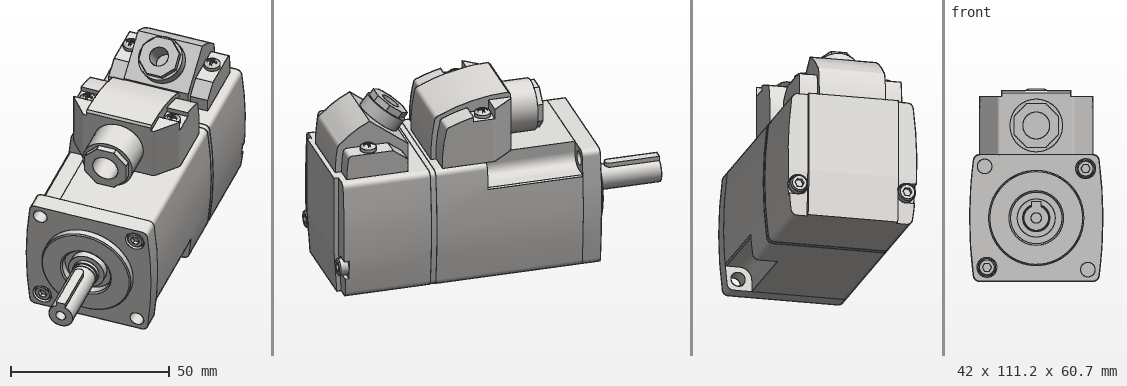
import cadquery as cq
import math


FLANGE_BACK = 6.0
STATOR_BACK = 54.2
LIP_BACK = 56.0
CORNER_BACK = 84.75
REAR = 86.19

HALF_HEIGHT = 20.0
HALF_WIDTH = 21.005
HALF_WIDTH_AT_CORNER = 19.6
SIDE_RISE = HALF_WIDTH - HALF_WIDTH_AT_CORNER
BOW_RADIUS = (HALF_HEIGHT**2 + SIDE_RISE**2) / (2 * SIDE_RISE)
CORNER_RADIUS = 2.0
LIP_INSET = 0.1
CUT_MARGIN = 1.0

PILOT_RADIUS = 15.0
PILOT_HEIGHT = 2.5
PILOT_CHAMFER = 0.4
RECESS_RADIUS = 8.1
RECESS_CHAMFER = 0.5
RECESS_DEPTH = 3.0
COLLAR_RADIUS = 6.0
COLLAR_LENGTH = 2.5
MOUNT_HOLE_RADIUS = 2.3
MOUNT_CIRCLE_RADIUS = 23.0
MOUNT_HOLE_OFFSET = MOUNT_CIRCLE_RADIUS * math.sqrt(0.5)
FLANGE_SCREW_OFFSET = 15.55
MOUNT_HOLES = [(-MOUNT_HOLE_OFFSET, MOUNT_HOLE_OFFSET), (MOUNT_HOLE_OFFSET, -MOUNT_HOLE_OFFSET)]
FLANGE_SCREWS = [(FLANGE_SCREW_OFFSET, FLANGE_SCREW_OFFSET), (-FLANGE_SCREW_OFFSET, -FLANGE_SCREW_OFFSET)]

NOTCH_BACK = 37.2
NOTCH_WALL_X = 11.8
NOTCH_FLOOR_Z = 12.2
NOTCH_RADIUS = 4.0
NOTCH_BEVEL = 0.45

SHAFT_TIP = -25.0
SHAFT_RADIUS = 4.0
SHOULDER_RADIUS = 4.3
SHOULDER_FRONT = -3.2
RELIEF_FRONT = -4.4
RELIEF_DEPTH = 0.15
KEY_WIDTH = 3.0
KEY_TOP = 5.2
KEY_BACK = -7.3
TIP_HOLE_RADIUS = 1.65
TIP_HOLE_DEPTH = 8.0

CAP_RADIUS = 2.75
CAP_HEIGHT = 3.0
CAP_CHAMFER = 0.4
CAP_SOCKET_FLATS = 2.5
CAP_SOCKET_DEPTH = 1.3
CAP_BORE_RADIUS = 3.15
FLANGE_BORE_DEPTH = 3.2

PANEL_HALF_WIDTH = 14.6
TAPER_TOP_Z = -5.5
TAPER_DEPTH = 0.95
REAR_SCREW_X = 17.6
REAR_SCREW_Z = -9.9
REAR_SEAT = 83.0

PAN_RADIUS = 2.55
PAN_RIM = 1.1
PAN_HEIGHT = 2.3
CROSS_LENGTH = 3.0
CROSS_WIDTH = 0.7
CROSS_DEPTH = 1.0


def frame_block(y_front, y_back, inset=0.0):
    """Length of the frame: flat top and bottom, bowed sides, rounded corners."""
    corner = HALF_WIDTH_AT_CORNER - inset
    bow = HALF_WIDTH - inset
    height = HALF_HEIGHT - inset
    return (
        cq.Workplane("XZ", origin=(0, y_front, 0))
        .moveTo(-corner, -height)
        .lineTo(corner, -height)
        .threePointArc((bow, 0), (corner, height))
        .lineTo(-corner, height)
        .threePointArc((-bow, 0), (-corner, -height))
        .close()
        .extrude(y_front - y_back)
        .edges("|Y")
        .fillet(CORNER_RADIUS)
    )


def cylinder(radius, y_front, y_back, x=0.0, z=0.0):
    """Cylinder parallel to Y."""
    return cq.Workplane("XZ", origin=(x, y_front, z)).circle(radius).extrude(y_front - y_back)


def box(x_range, y_range, z_range):
    """Box given by its extent along each axis."""
    lows, highs = zip(x_range, y_range, z_range)
    sizes = [high - low for low, high in zip(lows, highs)]
    return cq.Workplane("XY").box(*sizes, centered=False).translate(lows)


def profile_block(half_width, outline):
    """Symmetric block from an outline drawn on the YZ workplane."""
    return outline.close().extrude(half_width, both=True)


def make_flange():
    flange = frame_block(0, FLANGE_BACK)
    pilot = cylinder(PILOT_RADIUS, -PILOT_HEIGHT, 0).faces("<Y").chamfer(PILOT_CHAMFER)
    recess = cylinder(RECESS_RADIUS, -PILOT_HEIGHT, RECESS_DEPTH - PILOT_HEIGHT)
    flange = flange.union(pilot).cut(recess)
    mouth = flange.faces("<Y").edges(cq.selectors.RadiusNthSelector(0))
    flange = mouth.chamfer(RECESS_CHAMFER)
    recess_floor = RECESS_DEPTH - PILOT_HEIGHT
    flange = flange.union(cylinder(COLLAR_RADIUS, recess_floor - COLLAR_LENGTH, recess_floor))
    flange = flange.cut(cylinder(SHOULDER_RADIUS, -PILOT_HEIGHT, FLANGE_BACK))
    for x, z in MOUNT_HOLES:
        flange = flange.cut(cylinder(MOUNT_HOLE_RADIUS, 0, FLANGE_BACK, x, z))
    for x, z in FLANGE_SCREWS:
        flange = flange.cut(cylinder(CAP_BORE_RADIUS, 0, FLANGE_BORE_DEPTH, x, z))
    return flange


def make_stator():
    notch = box(
        (-HALF_WIDTH - CUT_MARGIN, -NOTCH_WALL_X),
        (FLANGE_BACK, NOTCH_BACK),
        (NOTCH_FLOOR_Z, HALF_HEIGHT + CUT_MARGIN),
    )
    notch = notch.edges("|Y and >X and <Z").fillet(NOTCH_RADIUS)
    floor_edge_x = math.sqrt(BOW_RADIUS**2 - NOTCH_FLOOR_Z**2) - (BOW_RADIUS - HALF_WIDTH)
    bevel = (
        cq.Workplane("XZ", origin=(-floor_edge_x, FLANGE_BACK, NOTCH_FLOOR_Z))
        .polyline([(-CUT_MARGIN, 0), (NOTCH_BEVEL, 0), (0, -NOTCH_BEVEL), (-CUT_MARGIN, -NOTCH_BEVEL)])
        .close()
        .extrude(FLANGE_BACK - NOTCH_BACK)
    )
    notch = notch.union(bevel)
    opposite_notch = notch.rotate((0, 0, 0), (0, 1, 0), 180)
    return frame_block(FLANGE_BACK, STATOR_BACK).cut(notch).cut(opposite_notch)


def make_encoder_cover():
    lip = frame_block(STATOR_BACK, LIP_BACK, LIP_INSET)
    cover = lip.union(frame_block(LIP_BACK, REAR))
    for side in (-1, 1):
        edge_x = side * PANEL_HALF_WIDTH
        outer_x = side * (HALF_WIDTH + CUT_MARGIN)
        strip = (
            cq.Workplane("YZ", origin=(edge_x, 0, 0))
            .moveTo(REAR + CUT_MARGIN, HALF_HEIGHT + CUT_MARGIN)
            .lineTo(CORNER_BACK, HALF_HEIGHT + CUT_MARGIN)
            .lineTo(CORNER_BACK, TAPER_TOP_Z)
            .lineTo(CORNER_BACK - TAPER_DEPTH, -HALF_HEIGHT)
            .lineTo(CORNER_BACK - TAPER_DEPTH, -HALF_HEIGHT - CUT_MARGIN)
            .lineTo(REAR + CUT_MARGIN, -HALF_HEIGHT - CUT_MARGIN)
            .close()
            .extrude(outer_x - edge_x)
        )
        screw_x = side * REAR_SCREW_X
        bore = cylinder(CAP_BORE_RADIUS, REAR_SEAT, REAR + CUT_MARGIN, screw_x, REAR_SCREW_Z)
        opening = box(
            sorted((screw_x, outer_x)),
            (REAR_SEAT, REAR + CUT_MARGIN),
            (REAR_SCREW_Z - CAP_BORE_RADIUS, REAR_SCREW_Z + CAP_BORE_RADIUS),
        )
        cover = cover.cut(strip).cut(bore).cut(opening)
    panel_taper = (
        cq.Workplane("YZ")
        .moveTo(REAR, TAPER_TOP_Z)
        .lineTo(REAR - TAPER_DEPTH, -HALF_HEIGHT)
        .lineTo(REAR, -HALF_HEIGHT)
        .close()
        .extrude(HALF_WIDTH, both=True)
    )
    return cover.cut(panel_taper)


def make_shaft():
    shaft = cylinder(SHOULDER_RADIUS, SHOULDER_FRONT, FLANGE_BACK)
    shaft = shaft.union(cylinder(SHAFT_RADIUS - RELIEF_DEPTH, RELIEF_FRONT, SHOULDER_FRONT))
    shaft = shaft.union(cylinder(SHAFT_RADIUS, SHAFT_TIP, RELIEF_FRONT))
    key_round = KEY_BACK - KEY_WIDTH / 2
    key = (
        cq.Workplane("XY")
        .moveTo(-KEY_WIDTH / 2, SHAFT_TIP)
        .lineTo(KEY_WIDTH / 2, SHAFT_TIP)
        .lineTo(KEY_WIDTH / 2, key_round)
        .threePointArc((0, KEY_BACK), (-KEY_WIDTH / 2, key_round))
        .close()
        .extrude(KEY_TOP)
    )
    tip_hole = cylinder(TIP_HOLE_RADIUS, SHAFT_TIP, SHAFT_TIP + TIP_HOLE_DEPTH)
    return shaft.union(key).cut(tip_hole)


def make_cap_screw(x, z, seat_y, front_direction):
    """Screw head resting on seat_y, its socket facing -Y (-1) or +Y (1)."""
    head = cq.Workplane("XY").circle(CAP_RADIUS).extrude(CAP_HEIGHT).faces(">Z").chamfer(CAP_CHAMFER)
    socket_corners = CAP_SOCKET_FLATS / math.cos(math.pi / 6)
    socket = (
        cq.Workplane("XY", origin=(0, 0, CAP_HEIGHT - CAP_SOCKET_DEPTH))
        .polygon(6, socket_corners)
        .extrude(CAP_SOCKET_DEPTH)
    )
    screw = head.cut(socket)
    screw = screw.rotate((0, 0, 0), (1, 0, 0), -90 * front_direction)
    return screw.translate((x, seat_y, z))


def pan_head(x, y, seat_z):
    """Domed screw head with a cross recess, standing on seat_z."""
    dome_rise = PAN_HEIGHT - PAN_RIM
    dome_radius = (PAN_RADIUS**2 + dome_rise**2) / (2 * dome_rise)
    half_angle = math.asin(PAN_RADIUS / dome_radius) / 2
    dome_mid_z = PAN_HEIGHT - dome_radius * (1 - math.cos(half_angle))
    head = (
        cq.Workplane("XZ")
        .lineTo(PAN_RADIUS, 0)
        .lineTo(PAN_RADIUS, PAN_RIM)
        .threePointArc((dome_radius * math.sin(half_angle), dome_mid_z), (0, PAN_HEIGHT))
        .close()
        .revolve(360, (0, 0, 0), (0, 1, 0))
    )
    cross_floor = cq.Workplane("XY", origin=(0, 0, PAN_HEIGHT - CROSS_DEPTH))
    for size in ((CROSS_LENGTH, CROSS_WIDTH), (CROSS_WIDTH, CROSS_LENGTH)):
        head = head.cut(cross_floor.rect(*size).extrude(2 * CROSS_DEPTH))
    return head.translate((x, y, seat_z))


def add_gland(connector, face, radius, length, nut_flats, nut_length, hole_radius, hole_depth):
    """Adds a round gland with an octagonal nut and a blind cable hole, standing on a workplane."""
    nut_corners = nut_flats / math.cos(math.pi / 8)
    total = length + nut_length
    sleeve = face.circle(radius).extrude(length)
    nut = (
        face.workplane(offset=length)
        .transformed(rotate=(0, 0, 180 / 8))
        .polygon(8, nut_corners)
        .extrude(nut_length)
    )
    hole = face.workplane(offset=total).circle(hole_radius).extrude(-hole_depth)
    return connector.union(sleeve).union(nut).cut(hole)


POWER_FRONT = 27.0
POWER_BACK = 53.1
POWER_TOP = 40.1
POWER_HALF_WIDTH = 10.9
POWER_CHAMFER = 0.7
POWER_WING_HALF_WIDTH = 17.95
POWER_WING_BACK = 51.4
POWER_WING_TOP = 38.3
POWER_WING_SLANT_Y = 34.2
POWER_WING_INNER_X = 11.85
POWER_WING_OUTER_RADIUS = 2.0
POWER_WING_INNER_RADIUS = 1.0
POWER_POCKET_BACK = 41.2
POWER_POCKET_Z = 35.0
POWER_SCREW_X = 14.25
POWER_SCREW_Y = 37.2
POWER_GLAND_Z = 29.15
POWER_BACK_MIDDLE = (52.8, 28.0)
POWER_BACK_TOP = (51.9, 33.7)
POWER_ROOF_BACK = (50.6, 35.1)
POWER_ROOF_MIDDLE = (39.5, 38.8)
POWER_WING_BACK_MIDDLE = (51.1, 28.0)
POWER_WING_BACK_TOP = (50.1, 33.2)
POWER_WING_ROOF_BACK = (49.2, 34.1)
POWER_WING_ROOF_MIDDLE = (45.3, 35.5)
POWER_WING_ROOF_Z = 36.6


def make_power_connector():
    hood = (
        cq.Workplane("YZ")
        .moveTo(POWER_FRONT, HALF_HEIGHT)
        .lineTo(POWER_BACK, HALF_HEIGHT)
        .threePointArc(POWER_BACK_MIDDLE, POWER_BACK_TOP)
        .tangentArcPoint(POWER_ROOF_BACK, relative=False)
        .threePointArc(POWER_ROOF_MIDDLE, (POWER_FRONT, POWER_TOP))
    )
    hood = profile_block(POWER_HALF_WIDTH, hood)
    hood = hood.faces("<Y").edges(">Z").chamfer(POWER_CHAMFER)
    wings = (
        cq.Workplane("YZ")
        .moveTo(POWER_FRONT, HALF_HEIGHT)
        .lineTo(POWER_WING_BACK, HALF_HEIGHT)
        .threePointArc(POWER_WING_BACK_MIDDLE, POWER_WING_BACK_TOP)
        .tangentArcPoint(POWER_WING_ROOF_BACK, relative=False)
        .threePointArc(POWER_WING_ROOF_MIDDLE, (POWER_POCKET_BACK, POWER_WING_ROOF_Z))
        .lineTo(POWER_POCKET_BACK, POWER_POCKET_Z)
        .lineTo(POWER_WING_SLANT_Y, POWER_POCKET_Z)
        .lineTo(POWER_WING_SLANT_Y, POWER_WING_TOP)
        .lineTo(POWER_FRONT, POWER_WING_TOP)
    )
    wings = profile_block(POWER_WING_HALF_WIDTH, wings)
    wing_plan = (
        cq.Workplane("XY", origin=(0, 0, HALF_HEIGHT))
        .moveTo(-POWER_WING_INNER_X, POWER_FRONT)
        .lineTo(POWER_WING_INNER_X, POWER_FRONT)
        .lineTo(POWER_WING_HALF_WIDTH, POWER_WING_SLANT_Y)
        .lineTo(POWER_WING_HALF_WIDTH, POWER_BACK)
        .lineTo(-POWER_WING_HALF_WIDTH, POWER_BACK)
        .lineTo(-POWER_WING_HALF_WIDTH, POWER_WING_SLANT_Y)
        .close()
        .extrude(HALF_HEIGHT)
    )
    outer_corners = cq.selectors.BoxSelector(
        (-HALF_WIDTH, POWER_WING_SLANT_Y - CUT_MARGIN, 0),
        (HALF_WIDTH, POWER_WING_SLANT_Y + CUT_MARGIN, 2 * POWER_TOP),
    )
    wing_plan = wing_plan.edges("|Z").edges(outer_corners).fillet(POWER_WING_OUTER_RADIUS)
    wing_plan = wing_plan.faces("<Y").edges("|Z").fillet(POWER_WING_INNER_RADIUS)
    connector = hood.union(wings.intersect(wing_plan))
    gland_face = cq.Workplane("XZ", origin=(0, POWER_FRONT, POWER_GLAND_Z))
    connector = add_gland(
        connector,
        gland_face,
        radius=8.3,
        length=10.0,
        nut_flats=14.0,
        nut_length=2.0,
        hole_radius=4.25,
        hole_depth=10.0,
    )
    for side in (-1, 1):
        connector = connector.union(pan_head(side * POWER_SCREW_X, POWER_SCREW_Y, POWER_POCKET_Z))
    return connector


ENC_FRONT = 60.6
ENC_BACK = 84.6
ENC_HALF_WIDTH = 10.8
ENC_SLANT_ANGLE = 37.5
ENC_SLANT_FRONT_Z = 26.7
ENC_PEAK_Y = 73.3
ENC_WING_HALF_WIDTH = 16.65
ENC_WING_FRONT = 62.5
ENC_WING_BACK = 82.6
ENC_WING_TOP = 28.0
ENC_WING_BEVEL_Y = 67.3
ENC_GLAND_ALONG = 8.3
ENC_SCREW_X = 13.6
ENC_SCREW_Y = 74.6
ENC_BACK_MIDDLE = (84.4, 24.7)
ENC_BACK_TOP = (83.9, 28.4)
ENC_ROOF_BACK = (82.8, 30.0)
ENC_ROOF_MIDDLE = (78.6, 33.45)
ENC_WING_BACK_MIDDLE = (82.4, 24.0)
ENC_WING_BACK_TOP = (82.0, 27.0)
ENC_WING_CORNER_MIDDLE = (81.6, 27.7)
ENC_WING_ROOF_BACK_Y = 80.8


def make_encoder_connector():
    slant = math.radians(ENC_SLANT_ANGLE)
    peak_z = ENC_SLANT_FRONT_Z + (ENC_PEAK_Y - ENC_FRONT) * math.tan(slant)
    hood = (
        cq.Workplane("YZ")
        .moveTo(ENC_FRONT, HALF_HEIGHT)
        .lineTo(ENC_BACK, HALF_HEIGHT)
        .threePointArc(ENC_BACK_MIDDLE, ENC_BACK_TOP)
        .tangentArcPoint(ENC_ROOF_BACK, relative=False)
        .threePointArc(ENC_ROOF_MIDDLE, (ENC_PEAK_Y, peak_z))
        .lineTo(ENC_FRONT, ENC_SLANT_FRONT_Z)
    )
    wing_bevel_z = ENC_WING_TOP - (ENC_WING_BEVEL_Y - ENC_WING_FRONT) * math.tan(slant)
    wings = (
        cq.Workplane("YZ")
        .moveTo(ENC_WING_FRONT, HALF_HEIGHT)
        .lineTo(ENC_WING_BACK, HALF_HEIGHT)
        .threePointArc(ENC_WING_BACK_MIDDLE, ENC_WING_BACK_TOP)
        .threePointArc(ENC_WING_CORNER_MIDDLE, (ENC_WING_ROOF_BACK_Y, ENC_WING_TOP))
        .lineTo(ENC_WING_BEVEL_Y, ENC_WING_TOP)
        .lineTo(ENC_WING_FRONT, wing_bevel_z)
    )
    connector = profile_block(ENC_HALF_WIDTH, hood).union(profile_block(ENC_WING_HALF_WIDTH, wings))
    gland_origin = (
        0,
        ENC_FRONT + ENC_GLAND_ALONG * math.cos(slant),
        ENC_SLANT_FRONT_Z + ENC_GLAND_ALONG * math.sin(slant),
    )
    gland_normal = (0, -math.sin(slant), math.cos(slant))
    gland_face = cq.Workplane(cq.Plane(gland_origin, (1, 0, 0), gland_normal))
    connector = add_gland(
        connector,
        gland_face,
        radius=7.1,
        length=4.4,
        nut_flats=12.2,
        nut_length=2.2,
        hole_radius=3.05,
        hole_depth=10.0,
    )
    for side in (-1, 1):
        connector = connector.union(pan_head(side * ENC_SCREW_X, ENC_SCREW_Y, ENC_WING_TOP))
    return connector


flange = make_flange()
stator = make_stator()
encoder_cover = make_encoder_cover()
shaft = make_shaft()
power_connector = make_power_connector()
encoder_connector = make_encoder_connector()
cap_screws = [make_cap_screw(x, z, FLANGE_BORE_DEPTH, -1) for x, z in FLANGE_SCREWS]
cap_screws += [make_cap_screw(side * REAR_SCREW_X, REAR_SCREW_Z, REAR_SEAT, 1) for side in (-1, 1)]

bodies = [flange, stator, encoder_cover, shaft, power_connector, encoder_connector, *cap_screws]
result = cq.Compound.makeCompound([body.solids().val() for body in bodies])